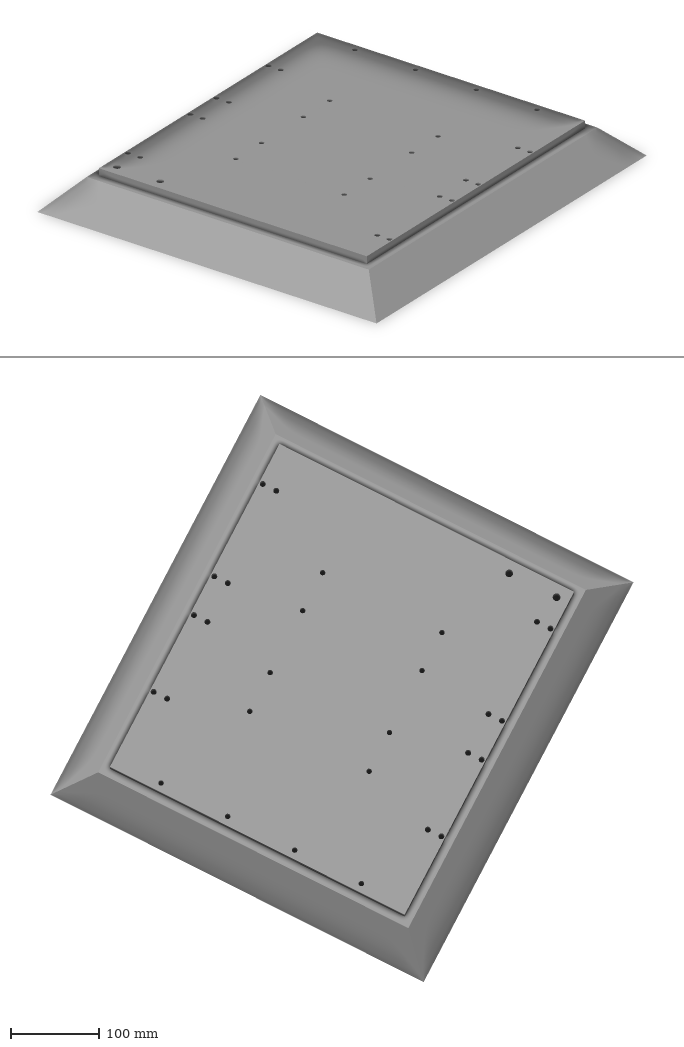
import cadquery as cq
base_length_x = 475.0
base_length_y = 520.0
base_height = 40.0

slab_length_x = 375.0
slab_length_y = 420.0
total_height = 50.0
sheet_thickness = 1.0
sheet_bottom = total_height - sheet_thickness
slab_height = sheet_bottom - base_height

side_hole_diameter = 7.0
side_hole_columns = (166.0, 183.0)
side_hole_rows = (110.0, 10.5, -40.0, -160.0)
screw_hole_diameter = 6.0
back_hole_columns = (42.5, 127.5)
back_hole_row = 200.0
middle_hole_column = 76.0
middle_hole_rows = (80.5, 30.0, -50.5, -100.0)
corner_hole_diameter = 9.0
corner_hole_columns = (-172.5, -112.5)
corner_hole_row = -195.5

mirror_sides = (-1, 1)
side_holes = [(s * x, y) for s in mirror_sides for x in side_hole_columns for y in side_hole_rows]
back_holes = [(s * x, back_hole_row) for s in mirror_sides for x in back_hole_columns]
middle_holes = [(s * middle_hole_column, y) for s in mirror_sides for y in middle_hole_rows]
corner_holes = [(x, corner_hole_row) for x in corner_hole_columns]


def drill(body, points, diameter):
    """Cut round vertical holes through the full height of the stack."""
    return body.cut(cq.Workplane("XY").pushPoints(points).circle(diameter / 2).extrude(total_height))


def drill_all(body):
    """Cut every hole of the shared pattern."""
    body = drill(body, side_holes, side_hole_diameter)
    body = drill(body, back_holes + middle_holes, screw_hole_diameter)
    return drill(body, corner_holes, corner_hole_diameter)


def make_plate(bottom, height):
    """A rectangular plate with the slab outline and the shared holes."""
    plate = cq.Workplane("XY").workplane(offset=bottom).rect(slab_length_x, slab_length_y).extrude(height)
    return drill_all(plate)


def make_base():
    """Frustum whose flanks move inward by as much as they rise."""
    top_length_x = base_length_x - 2 * base_height
    top_length_y = base_length_y - 2 * base_height
    frustum = (
        cq.Workplane("XY")
        .rect(base_length_x, base_length_y)
        .workplane(offset=base_height)
        .rect(top_length_x, top_length_y)
        .loft(ruled=True)
    )
    return drill_all(frustum)


base = make_base()
slab = make_plate(base_height, slab_height)
cover_sheet = make_plate(sheet_bottom, sheet_thickness)

result = cq.Compound.makeCompound([base.val(), slab.val(), cover_sheet.val()])